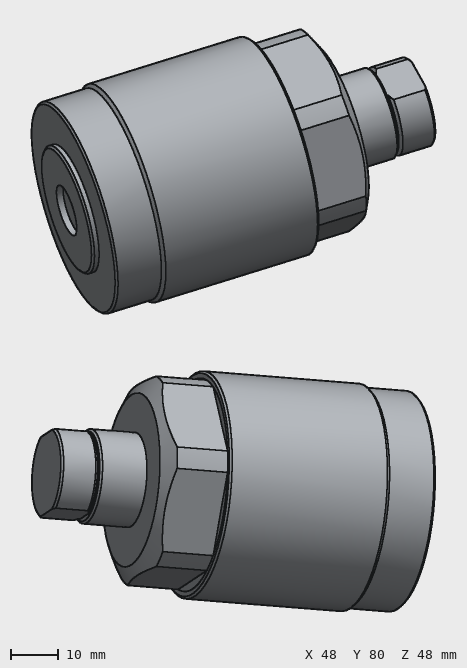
import cadquery as cq
import math

total_length = 80.0
edge_chamfer = 0.5

disc_radius = 14.1
disc_height = 1.5
recess_radius = 5.5
recess_depth = 1.5

collar_radius = 23.3
sleeve_radius = 24.0
sleeve_front = 11.8
sleeve_back = 47.5
sleeve_front_chamfer = sleeve_radius - collar_radius

hex_across_flats = 41.0
hex_corner_radius = 22.5
hex_back = 61.1
hex_end_radius = 18.3
hex_cone_angle = 30.0
hex_cone_length = (hex_corner_radius - hex_end_radius) * math.tan(math.radians(hex_cone_angle))

spigot_radius = 10.0
spigot_back = 71.4
neck_radius = 9.1
neck_width = 0.3
end_radius = 9.8
end_across_flats = 17.1
end_front = spigot_back + neck_width
end_front_chamfer = end_radius - neck_radius


def disc(radius, front, back):
    """Cylinder on the Y axis between two Y positions."""
    return cq.Workplane("XZ", origin=(0, front, 0)).circle(radius).extrude(front - back)


def make_hexagon():
    """Hexagon with flats facing +Z and -Z, trimmed by a cylinder with a coned rear end."""
    across_corners = hex_across_flats / math.cos(math.radians(30))
    prism = (
        cq.Workplane("XZ", origin=(0, sleeve_back, 0))
        .polygon(6, across_corners)
        .extrude(sleeve_back - hex_back)
    )
    envelope = (
        disc(hex_corner_radius, sleeve_back, hex_back)
        .faces(">Y")
        .chamfer(hex_cone_length, hex_corner_radius - hex_end_radius)
    )
    return prism.intersect(envelope)


def make_flatted_end():
    """Neck and rear end, cut by two flats facing +Z and -Z."""
    neck = disc(neck_radius, spigot_back, end_front)
    head = (
        disc(end_radius, end_front, total_length)
        .faces(">Y")
        .chamfer(edge_chamfer)
        .faces("<Y")
        .chamfer(end_front_chamfer)
    )
    flats = cq.Workplane("XY").box(
        2 * end_radius, total_length, end_across_flats, centered=(True, False, True)
    )
    return neck.union(head).intersect(flats)


def make_core():
    """Body running the full length, from the front disc to the flatted end."""
    front_disc = disc(disc_radius, 0, disc_height).faces("<Y").chamfer(edge_chamfer)
    collar = disc(collar_radius, disc_height, sleeve_front).faces("<Y").chamfer(edge_chamfer)
    sleeve_seat = disc(hex_corner_radius, sleeve_front, sleeve_back)
    spigot = disc(spigot_radius, hex_back, spigot_back).faces(">Y").chamfer(edge_chamfer)
    core = front_disc.union(collar).union(sleeve_seat)
    core = core.union(make_hexagon()).union(spigot).union(make_flatted_end())
    return core.cut(disc(recess_radius, 0, recess_depth))


def make_sleeve():
    """Outer sleeve around the core, resting against the back of the collar."""
    barrel = (
        disc(sleeve_radius, sleeve_front, sleeve_back)
        .faces("<Y")
        .chamfer(sleeve_front_chamfer)
        .faces(">Y")
        .chamfer(edge_chamfer)
    )
    return barrel.cut(disc(hex_corner_radius, sleeve_front, sleeve_back))


core = make_core()
sleeve = make_sleeve()
result = cq.Compound.makeCompound([core.val(), sleeve.val()])